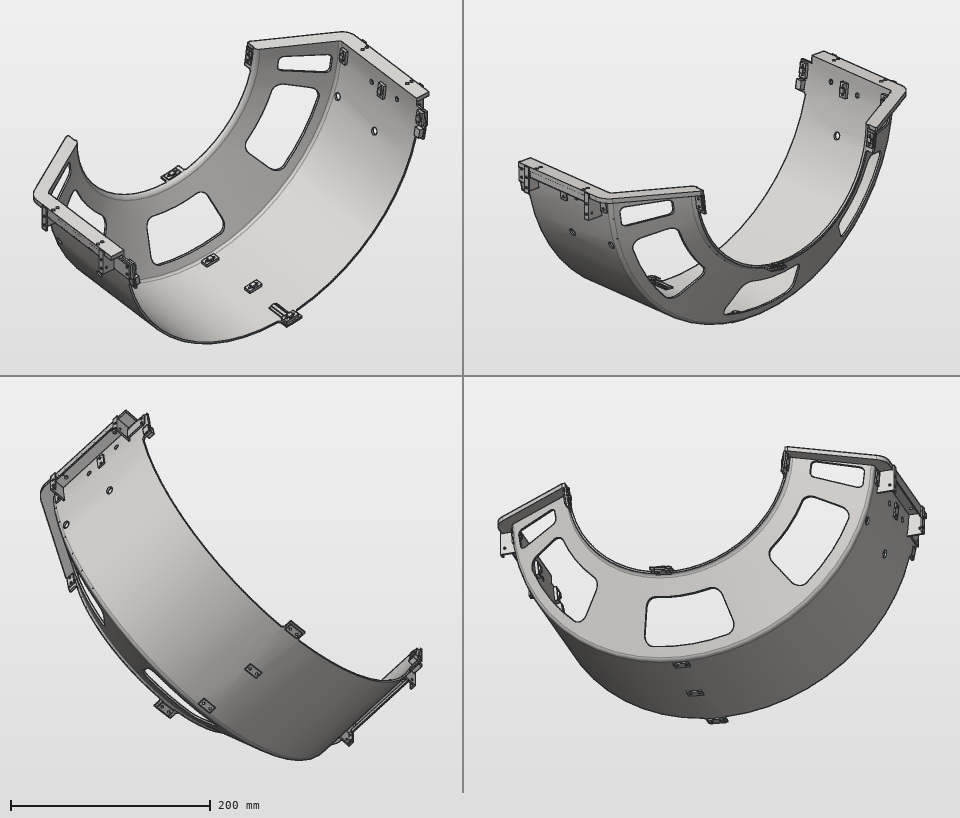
import cadquery as cq
import math


SHEET = 2.0
OUTER_R = 192.0
LIP_R = 117.5
CONE_ANGLE = 60
CORNER_X = 56.0
CONE_BEND_R = 6.0
LIP_BEND_R = 5.0
LIP_EDGE_X = 10.0
SHELL_END_X = 180.5
INNER_R = OUTER_R - SHEET
CONE_SLOPE = math.tan(math.radians(CONE_ANGLE))
BEND_TANGENT = math.tan(math.radians(CONE_ANGLE / 2))
LIP_CORNER_X = CORNER_X - (OUTER_R - LIP_R) / CONE_SLOPE

FLANGE_T = 5.0
FLANGE_Y = 206.5
FLANGE_END_X = 176.5
FLANGE_CORNER_X = 50.5
FLANGE_CORNER_R = 17.5
RIM_LIP_X = (75.7, 159.5)
RIM_LIP_T = 1.2
RIM_LIP_DEPTH = 11.2
FLANGE_HOLE_D = 3.5
FLANGE_HOLE_X = (82.0, 152.3)
FLANGE_HOLE_Y = (198.0, 203.5)

WINDOW_INNER_R = 136.0
WINDOW_OUTER_R = 179.5
WINDOW_HALF_ANGLE = 16
WINDOW_PITCH = 55.8
WINDOW_CORNER_R = 10.0
SLOT_OUTER_R = 183.5
SLOT_CORNER_R = 5.0
SLOT_ANGLES = ((-87.4, -80.0), (77.9, 84.9))

EAR_FLARE = 2.0
FRONT_EAR_X = 0
FRONT_EAR_ALONG = (4.0, 26.5)
REAR_EAR_X = 191.8
REAR_EAR_TOP = 8.7
SIDE_EAR_ALONG = (REAR_EAR_TOP, 41.0)
BOTTOM_EAR_ALONG = (REAR_EAR_TOP, 28.5)

PLATE_X = 8.5
PLATE_ALONG = 16.0
PLATE_PROUD = 1.45
PLATE_BASE = 3.5
PLATE_BOSS = 5.5
BOSS_X = 5.0
BOSS_ALONG = 5.5
PLATE_HOLE_D = 2.5
PLATE_HOLE_PITCH = 9.0
FRONT_PLATE_X = 5.2
FRONT_PLATE_BASE = 1.2
FRONT_PLATE_BOSS = 2.5
CORNER_PLATE_X = 65.0
MIDDLE_PLATE_X = 125.2
REAR_PLATE_X = 185.5
CORNER_PLATE_ALONG = 14.5
MIDDLE_PLATE_ALONG = 21.0
REAR_PLATE_ALONG = 18.5

SIDE_HOLES = (
    (107.5, -21.2, 5.0),
    (147.0, -19.0, 5.0),
    (MIDDLE_PLATE_X, -68.0, 7.5),
    (CORNER_PLATE_X, -62.0, 7.5),
)

GUSSET_T = 1.5
GUSSET_OUTER_Y = 208
GUSSET_BOTTOM = -28.5
STRAP_W = 6.2
FRONT_STRAP_X = 70.0
REAR_STRAP_X = 159.5
STRAP_HOLE_D = 2.5
STRAP_HOLE_Z = (-11.5, -23.0)
WEB_HOLE_D = 2.0
WEB_HOLE_Y = 203.5
WEB_HOLE_Z = -22.0
TONGUE_END_X = 189.3
TONGUE_Z = (-28.3, -11.2)
TONGUE_Y = OUTER_R + 0.1

SIDE_LATCH_X = 7.0
SIDE_LATCH_LENGTH = 10.0
SIDE_LATCH_CENTRE_X = 187.0
SIDE_LATCH_ALONG = 34.3
SIDE_LATCH_PROUD = 0.5
LATCH_INSIDE = 5.5
STRIP_X = 159.7
STRIP_W = 9.5
STRIP_T = 1.2
STRIP_SHIFT = -1.05
STRIP_RIB_W = 4.0
STRIP_RIB_T = 1.2


def box(x, y, z):
    """Box from three (low, high) ranges."""
    size = [high - low for low, high in (x, y, z)]
    return cq.Workplane("XY").box(*size, centered=False).translate((x[0], y[0], z[0]))


def mirrored(body):
    return body.mirror("XZ")


def on_left(body):
    """Turn a body made at the bottom station to the -Y station."""
    return body.rotate((0, 0, 0), (1, 0, 0), -90)


def around(body, radius, along):
    """Swing a body built straight below the axis to its place in the bottom station."""
    angle = math.degrees(math.asin(along / radius))
    return body.rotate((0, 0, 0), (1, 0, 0), angle)


def radial_box(x_mid, x_size, width, r_inner, r_outer, shift=0):
    """Box straight below the axis, between two radii."""
    return box(
        (x_mid - x_size / 2, x_mid + x_size / 2),
        (shift - width / 2, shift + width / 2),
        (-r_outer, -r_inner),
    )


def bend(x, r, radius):
    """Axial end, middle and cone end of a bend; a negative radius has its axial side at -X."""
    tangent = abs(radius) * BEND_TANGENT
    slope = math.radians(CONE_ANGLE)
    direction = math.copysign(1, radius)
    axial = (x + direction * tangent, r)
    on_cone = (x - direction * tangent * math.cos(slope), r - direction * tangent * math.sin(slope))
    half = slope / 2
    middle = (axial[0] - radius * math.sin(half), r - radius * (1 - math.cos(half)))
    return axial, middle, on_cone


def shell_sheet():
    """Bent half ring that reaches to the tips of the ears."""
    shift = SHEET * BEND_TANGENT
    outer_big = bend(CORNER_X, OUTER_R, CONE_BEND_R)
    inner_big = bend(CORNER_X + shift, INNER_R, CONE_BEND_R - SHEET)
    outer_lip = bend(LIP_CORNER_X, LIP_R, -LIP_BEND_R)
    inner_lip = bend(LIP_CORNER_X + shift, LIP_R - SHEET, -(LIP_BEND_R + SHEET))
    profile = (
        cq.Workplane("XY")
        .moveTo(REAR_EAR_X, OUTER_R)
        .lineTo(*outer_big[0])
        .threePointArc(outer_big[1], outer_big[2])
        .lineTo(*outer_lip[2])
        .threePointArc(outer_lip[1], outer_lip[0])
        .lineTo(FRONT_EAR_X, LIP_R)
        .lineTo(FRONT_EAR_X, LIP_R - SHEET)
        .lineTo(*inner_lip[0])
        .threePointArc(inner_lip[1], inner_lip[2])
        .lineTo(*inner_big[2])
        .threePointArc(inner_big[1], inner_big[0])
        .lineTo(REAR_EAR_X, INNER_R)
        .close()
    )
    sheet = profile.revolve(180, (0, 0, 0), (-1, 0, 0))
    rear_notch = box((FLANGE_END_X, REAR_EAR_X), (-OUTER_R, OUTER_R), (-REAR_EAR_TOP, 0))
    return sheet.cut(rear_notch)


def polar(radius, angle):
    return radius * math.sin(math.radians(angle)), -radius * math.cos(math.radians(angle))


def window(start, end, r_outer, corner_r):
    middle = (start + end) / 2
    return (
        cq.Workplane("YZ")
        .moveTo(*polar(WINDOW_INNER_R, start))
        .threePointArc(polar(WINDOW_INNER_R, middle), polar(WINDOW_INNER_R, end))
        .lineTo(*polar(r_outer, end))
        .threePointArc(polar(r_outer, middle), polar(r_outer, start))
        .close()
        .extrude(CORNER_X)
        .edges("|X")
        .fillet(corner_r)
    )


def windows():
    cutters = [window(start, end, SLOT_OUTER_R, SLOT_CORNER_R) for start, end in SLOT_ANGLES]
    for index in (-1, 0, 1):
        centre = index * WINDOW_PITCH
        start = centre - WINDOW_HALF_ANGLE
        end = centre + WINDOW_HALF_ANGLE
        cutters.append(window(start, end, WINDOW_OUTER_R, WINDOW_CORNER_R))
    return cutters


def flange():
    """Top flange on the +Y side, with a rim lip hanging between the two brackets."""
    front_y = FLANGE_Y - FLANGE_CORNER_X * CONE_SLOPE
    inset = SHEET / 2
    outline = [
        (FLANGE_END_X, OUTER_R - inset),
        (FLANGE_END_X, FLANGE_Y),
        (FLANGE_CORNER_X, FLANGE_Y),
        (0, front_y),
        (0, LIP_R - inset),
        (LIP_CORNER_X + inset * BEND_TANGENT, LIP_R - inset),
        (CORNER_X + inset * BEND_TANGENT, OUTER_R - inset),
    ]
    plate = cq.Workplane("XY").polyline(outline).close().extrude(-FLANGE_T)
    corner = cq.selectors.NearestToPointSelector((FLANGE_CORNER_X, FLANGE_Y, -FLANGE_T / 2))
    plate = plate.edges("|Z").edges(corner).fillet(FLANGE_CORNER_R)
    plate = plate.union(box(RIM_LIP_X, (FLANGE_Y - RIM_LIP_T, FLANGE_Y), (-RIM_LIP_DEPTH, 0)))
    holes = [(x, y) for x in FLANGE_HOLE_X for y in FLANGE_HOLE_Y]
    cutter = cq.Workplane("XY").pushPoints(holes).circle(FLANGE_HOLE_D / 2).extrude(-FLANGE_T)
    return plate.cut(cutter)


def ear_plan(root_x, tip_x, along):
    """Prism over one ear of the bottom station, flared where the ear leaves the sheet."""
    neck_x = root_x + math.copysign(EAR_FLARE, tip_x - root_x)
    start, end = along
    outline = [
        (root_x, start - EAR_FLARE),
        (neck_x, start),
        (tip_x, start),
        (tip_x, end),
        (neck_x, end),
        (root_x, end + EAR_FLARE),
    ]
    return cq.Workplane("XY").polyline(outline).close().extrude(-2 * OUTER_R)


def ear_gaps(root_x, tip_x, r_outer, side_along, bottom_along):
    """Ring of waste beyond the shell's edge, with the ears of the three stations left out of it."""
    ring = (
        cq.Workplane("YZ", origin=(min(root_x, tip_x), 0, 0))
        .circle(r_outer + SHEET)
        .circle(r_outer - 2 * SHEET)
        .extrude(abs(tip_x - root_x))
    )
    left_ear = on_left(ear_plan(root_x, tip_x, side_along))
    bottom_ear = ear_plan(root_x, tip_x, bottom_along)
    return ring.cut(left_ear).cut(mirrored(left_ear)).cut(bottom_ear)


def nut_plate(x, along, r_outer=OUTER_R, base=PLATE_BASE, boss=PLATE_BOSS, proud=PLATE_PROUD):
    """Plate through the sheet at the bottom station, with a boss on its inner face."""
    r_inner = r_outer - SHEET
    r_middle = r_outer - SHEET / 2
    plate = radial_box(x, PLATE_X, PLATE_ALONG, r_inner - base, r_middle)
    plate = plate.union(radial_box(x, BOSS_X, BOSS_ALONG, r_inner - boss, r_middle))
    if proud:
        plate = plate.union(radial_box(x, PLATE_X, PLATE_ALONG, r_middle, r_outer + proud))
    return around(plate, r_outer, along)


def plate_holes(x, along, r_outer=OUTER_R):
    holes = (
        cq.Workplane("XY", origin=(x, 0, -r_outer - 4))
        .pushPoints([(0, -PLATE_HOLE_PITCH / 2), (0, PLATE_HOLE_PITCH / 2)])
        .circle(PLATE_HOLE_D / 2)
        .extrude(PLATE_BOSS + SHEET + 8.5)
    )
    return around(holes, r_outer, along)


def side_latch():
    """Small block through the rear ear, at the bottom station before it is turned to a side."""
    block = radial_box(
        SIDE_LATCH_CENTRE_X,
        SIDE_LATCH_X,
        SIDE_LATCH_LENGTH,
        INNER_R - LATCH_INSIDE,
        OUTER_R + SIDE_LATCH_PROUD,
    )
    return around(block, OUTER_R, SIDE_LATCH_ALONG)


def latch_head():
    return nut_plate(REAR_PLATE_X, REAR_PLATE_ALONG).cut(plate_holes(REAR_PLATE_X, REAR_PLATE_ALONG))


def bottom_latch():
    """Head through the bottom ear, with a ribbed strip running forward inside the shell."""
    head_x = REAR_PLATE_X - PLATE_X / 2
    length = head_x - STRIP_X
    middle = STRIP_X + length / 2
    top_r = INNER_R - STRIP_T
    strip = radial_box(middle, length, STRIP_W, top_r, OUTER_R, STRIP_SHIFT)
    rib = radial_box(middle, length, STRIP_RIB_W, top_r - STRIP_RIB_T, top_r, STRIP_SHIFT)
    strip = around(strip.union(rib), OUTER_R, REAR_PLATE_ALONG)
    bore = cq.Workplane("YZ").circle(INNER_R).extrude(REAR_EAR_X)
    return latch_head().union(strip.intersect(bore))


def station_plates():
    """Nut plates that every station has."""
    return [
        nut_plate(FRONT_PLATE_X, CORNER_PLATE_ALONG, LIP_R, FRONT_PLATE_BASE, FRONT_PLATE_BOSS),
        nut_plate(CORNER_PLATE_X, CORNER_PLATE_ALONG),
        nut_plate(MIDDLE_PLATE_X, MIDDLE_PLATE_ALONG),
    ]


def station_holes():
    return [
        plate_holes(FRONT_PLATE_X, CORNER_PLATE_ALONG, LIP_R),
        plate_holes(CORNER_PLATE_X, CORNER_PLATE_ALONG),
        plate_holes(MIDDLE_PLATE_X, MIDDLE_PLATE_ALONG),
    ]


def side_wall_holes():
    """Cross holes through both side walls."""
    return [
        cq.Workplane("XZ").center(x, z).circle(diameter / 2).extrude(FLANGE_Y, both=True)
        for x, z, diameter in SIDE_HOLES
    ]


def make_shell(bottom_latch_body, side_latch_bodies):
    shell = shell_sheet()
    gaps = [
        ear_gaps(LIP_EDGE_X, FRONT_EAR_X, LIP_R, FRONT_EAR_ALONG, FRONT_EAR_ALONG),
        ear_gaps(SHELL_END_X, REAR_EAR_X, OUTER_R, SIDE_EAR_ALONG, BOTTOM_EAR_ALONG),
    ]
    for cutter in gaps + windows() + side_wall_holes():
        shell = shell.cut(cutter)

    rear_plate = nut_plate(REAR_PLATE_X, REAR_PLATE_ALONG, proud=0)
    left_parts = [on_left(part) for part in station_plates() + [rear_plate]]
    left_parts.append(mirrored(flange()))
    right_parts = [mirrored(part) for part in left_parts]
    for part in station_plates() + left_parts + right_parts:
        shell = shell.union(part, clean=False)

    rear_holes = plate_holes(REAR_PLATE_X, REAR_PLATE_ALONG)
    left_holes = [on_left(hole) for hole in station_holes() + [rear_holes]]
    right_holes = [mirrored(hole) for hole in left_holes]
    for hole in station_holes() + left_holes + right_holes:
        shell = shell.cut(hole)

    head_opening = around(
        radial_box(REAR_PLATE_X, PLATE_X, PLATE_ALONG, INNER_R - PLATE_BASE, OUTER_R + PLATE_PROUD),
        OUTER_R,
        REAR_PLATE_ALONG,
    )
    shell = shell.cut(head_opening).cut(bottom_latch_body)
    for latch in side_latch_bodies:
        shell = shell.cut(latch)
    return shell


def make_gusset(strap_x, web_x):
    """Bracket on the +Y side: a strap on the flange edge and a web reaching in to the shell."""
    strap = box((strap_x, strap_x + STRAP_W), (FLANGE_Y, GUSSET_OUTER_Y), (GUSSET_BOTTOM, 0))
    strap_middle = strap_x + STRAP_W / 2
    strap_holes = (
        cq.Workplane("XZ")
        .pushPoints([(strap_middle, z) for z in STRAP_HOLE_Z])
        .circle(STRAP_HOLE_D / 2)
        .extrude(-GUSSET_OUTER_Y)
    )
    web_root = math.sqrt(OUTER_R**2 - GUSSET_BOTTOM**2)
    web = box((web_x, web_x + GUSSET_T), (web_root, FLANGE_Y), (GUSSET_BOTTOM, -FLANGE_T))
    web_hole = (
        cq.Workplane("YZ").center(WEB_HOLE_Y, WEB_HOLE_Z).circle(WEB_HOLE_D / 2).extrude(REAR_EAR_X)
    )
    drum = cq.Workplane("YZ").circle(OUTER_R).extrude(REAR_EAR_X)
    return strap.cut(strap_holes).union(web.cut(web_hole).cut(drum))


def make_front_gusset():
    return make_gusset(FRONT_STRAP_X, FRONT_STRAP_X)


def make_rear_gusset():
    """Gusset with a tongue that lies over the rear nut plate."""
    web_x = REAR_STRAP_X + STRAP_W - GUSSET_T
    tongue = box((web_x, TONGUE_END_X), (TONGUE_Y, TONGUE_Y + GUSSET_T), TONGUE_Z)
    holes = mirrored(on_left(plate_holes(REAR_PLATE_X, REAR_PLATE_ALONG)))
    return make_gusset(REAR_STRAP_X, web_x).union(tongue.cut(holes))


bottom_latch_part = bottom_latch()
left_latch = on_left(side_latch())
side_latches = [left_latch, mirrored(left_latch)]
shell = make_shell(bottom_latch_part, side_latches)

gussets = []
for gusset in (make_front_gusset(), make_rear_gusset()):
    gussets += [gusset, mirrored(gusset)]

result = cq.Compound.makeCompound(
    [
        shell.val(),
        bottom_latch_part.val(),
        *[latch.val() for latch in side_latches],
        *[gusset.val() for gusset in gussets],
    ]
)